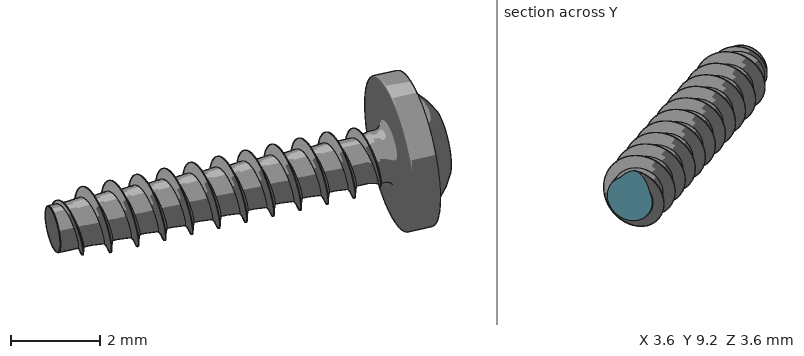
import cadquery as cq
import math


total_length = 9.2
flange_diameter = 3.6
flange_thickness = 0.61
flange_edge_fillet = 0.03
dome_height = 0.59
dome_base_radius = 1.42
dome_top_radius = 0.79

neck_radius = 0.6
neck_fillet = 0.25
neck_length = 0.39
neck_taper_length = 0.25
core_radius = 0.54
tip_radius = 0.52
tip_edge_height = 0.02
tip_cone_height = 0.03
shank_length = total_length - flange_thickness - dome_height
core_end = shank_length - tip_cone_height

thread_radius = 0.796
crest_half_width = 0.01
mid_flank_half_width = 0.055
mid_flank_radius = 0.65
head_side_root_half_width = 0.13
head_side_root_radius = 0.5
tip_side_root_half_width = 0.1
tip_side_root_radius = 0.57
root_slope_end = 0.5
root_slope_end_radius = 0.53
inner_radius = 0.18

pitch = 6.4 / 10
first_crest = 0.46
thread_start = 0.28
run_in_end = 0.9
run_out_start = 7.14
thread_end = 7.91
run_in_slope = 0.24
run_out_slope = 0.3
points_per_turn = 24


def make_head():
    flange_radius = flange_diameter / 2
    flange = cq.Workplane("XY").circle(flange_radius).extrude(-flange_thickness)
    flange = flange.edges().fillet(flange_edge_fillet)

    centre_depth = (dome_base_radius**2 - dome_top_radius**2 - dome_height**2) / (2 * dome_height)
    sphere_radius = math.hypot(dome_base_radius, centre_depth)
    middle_height = dome_height / 2
    middle_radius = math.sqrt(sphere_radius**2 - (centre_depth + middle_height)**2)
    dome_base = -flange_thickness
    dome_top = dome_base - dome_height
    dome = (
        cq.Workplane("XZ")
        .moveTo(0, dome_base)
        .lineTo(dome_base_radius, dome_base)
        .threePointArc((middle_radius, dome_base - middle_height), (dome_top_radius, dome_top))
        .lineTo(0, dome_top)
        .close()
        .revolve(360, (0, 0, 0), (0, 1, 0))
    )
    return flange.union(dome)


def make_shank():
    fillet_outer_radius = neck_radius + neck_fillet
    arc_offset = neck_fillet * (1 - math.sqrt(0.5))
    overlap = flange_thickness / 2
    return (
        cq.Workplane("XZ")
        .moveTo(0, -overlap)
        .lineTo(fillet_outer_radius, -overlap)
        .lineTo(fillet_outer_radius, 0)
        .threePointArc((neck_radius + arc_offset, arc_offset), (neck_radius, neck_fillet))
        .lineTo(neck_radius, neck_length)
        .lineTo(core_radius, neck_length + neck_taper_length)
        .lineTo(core_radius, core_end - tip_edge_height)
        .lineTo(tip_radius, core_end)
        .lineTo(0, shank_length)
        .close()
        .revolve(360, (0, 0, 0), (0, 1, 0))
    )


def thread_point(crest_position, axial_offset, radius):
    """Point of the thread section whose crest lies at the given axial position."""
    angle = 2 * math.pi * (crest_position - first_crest) / pitch
    return cq.Vector(radius * math.cos(angle), radius * math.sin(angle), crest_position + axial_offset)


def thread_section(crest_position):
    """Corners of the thread section at one axial position, sunk inside the run-in and run-out."""
    run_in_sink = run_in_slope * max(0, run_in_end - crest_position)
    run_out_sink = run_out_slope * max(0, crest_position - run_out_start)
    sink = run_in_sink + run_out_sink
    outer_corners = [
        (-head_side_root_half_width, head_side_root_radius),
        (-mid_flank_half_width, mid_flank_radius),
        (-crest_half_width, thread_radius),
        (crest_half_width, thread_radius),
        (mid_flank_half_width, mid_flank_radius),
        (tip_side_root_half_width, tip_side_root_radius),
        (root_slope_end, root_slope_end_radius),
    ]
    corners = [(-head_side_root_half_width, inner_radius)]
    corners += [(offset, radius - sink) for offset, radius in outer_corners]
    corners.append((root_slope_end, inner_radius))
    return [thread_point(crest_position, offset, radius) for offset, radius in corners]


def make_thread_stretch(start, end):
    """Thread solid between two axial positions: ruled faces between corner curves, capped flat."""
    steps = math.ceil(points_per_turn * (end - start) / pitch)
    sections = [thread_section(start + (end - start) * step / steps) for step in range(steps + 1)]
    curves = [cq.Edge.makeSpline(list(corner_path)) for corner_path in zip(*sections)]
    next_curves = curves[1:] + curves[:1]
    faces = [cq.Face.makeRuledSurface(curve, following) for curve, following in zip(curves, next_curves)]
    for section in (sections[0], sections[-1]):
        faces.append(cq.Face.makeFromWires(cq.Wire.makePolygon(section, close=True)))
    return cq.Solid.makeSolid(cq.Shell.makeShell(faces)).fix()


def make_thread():
    """Run-in, full thread and run-out, as separate solids."""
    stops = [thread_start, run_in_end, run_out_start, thread_end]
    stretches = [make_thread_stretch(start, end) for start, end in zip(stops, stops[1:])]

    limit = cq.Workplane("XY").workplane(offset=neck_length).circle(flange_diameter / 2)
    limit = limit.extrude(core_end - tip_edge_height - neck_length)
    return [limit.intersect(cq.Workplane(stretch)).val() for stretch in stretches]


threaded_shank = make_shank().val().fuse(*make_thread())
screw = make_head().union(cq.Workplane(threaded_shank))
result = screw.rotate((0, 0, 0), (1, 0, 0), 90)